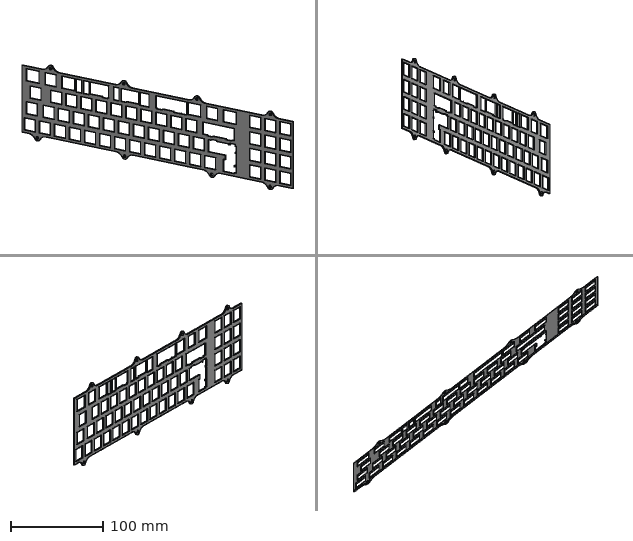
import math

import cadquery as cq

key_pitch = 19.05
columns = 18
row_count = 4
border = 0.475
thickness = 1.6
overall_height = 90.29

plate_length = columns * key_pitch + 2 * border
plate_height = row_count * key_pitch + 2 * border

switch_size = 14.0
half_switch = switch_size / 2
slot_width = 7.0
half_slot = slot_width / 2
slot_near = half_switch
slot_far = 8.0
half_span_2u = 11.938
half_span_3u = 19.05
half_span_7u = 57.15
half_span_8u = 66.675

tab_radius = 3.5
tab_hole_diameter = 3.0
tab_flare_radius = 9.0
tab_centre_z = overall_height / 2 - tab_radius
top_tab_first = 1.875
top_tab_pitch = 4.875
top_tabs = [top_tab_first + top_tab_pitch * i for i in range(4)]
bottom_tabs = [1.0, 6.8125, 12.625, 16.5]

shift_key = 13.125
split_shift_key = 12.375
enter_key = 13.375
tall_enter_key = 13.875
numpad_keys = [15.5, 16.5, 17.5]
number_row_keys = [0.5 + i for i in range(13)] + [13.75] + numpad_keys
home_row_keys = [0.625] + [1.75 + i for i in range(11)] + [12.75, enter_key] + numpad_keys
right_shift_keys = [split_shift_key, shift_key, 13.75]
shift_row_keys = [0.875] + [2.25 + i for i in range(10)] + right_shift_keys + numpad_keys
space_row_left_keys = [0.625, 0.75, 1.875, 3.0, 3.125]
space_row_middle_keys = [4.875, 5.375, 7.25, 7.375, 9.25, 9.75, 10.25]
space_row_right_keys = [11.375, 11.5, 12.625, 13.75, 13.875]
space_row_keys = space_row_left_keys + space_row_middle_keys + space_row_right_keys + numpad_keys

space_row_stabilizers = [
    (4.875, half_span_2u),
    (7.25, half_span_3u),
    (7.25, half_span_7u),
    (7.25, half_span_8u),
    (7.375, half_span_2u),
    (9.75, half_span_2u),
]


def key_x(units):
    return (units - columns / 2) * key_pitch


def row_z(row):
    """Centre height of a row, counted from the bottom."""
    return (row + 0.5 - row_count / 2) * key_pitch


number_row_z, home_row_z, shift_row_z, space_row_z = [row_z(row) for row in range(row_count)]
tall_enter_z = (number_row_z + home_row_z) / 2


def block(x_min, x_max, z_min, z_max):
    """Rectangular block through the plate thickness."""
    return cq.Workplane("XY").box(
        x_max - x_min, thickness, z_max - z_min
    ).translate(((x_min + x_max) / 2, 0, (z_min + z_max) / 2))


def cylinder(x, z, radius):
    """Round block through the plate thickness."""
    return cq.Workplane("XZ").center(x, z).circle(radius).extrude(thickness / 2, both=True)


def switch_opening(x, z):
    return block(x - half_switch, x + half_switch, z - half_switch, z + half_switch)


def slot_pair(x, z, half_span, reach_down, reach_up):
    """Two upright stabilizer slots, either side of a key centre."""
    centres = [x - half_span, x + half_span]
    return [block(c - half_slot, c + half_slot, z - reach_down, z + reach_up) for c in centres]


def tall_slot_pair(x, z, half_span):
    """Two sideways stabilizer slots, above and below a key centre."""
    centres = [z - half_span, z + half_span]
    return [block(x - slot_far, x + slot_near, c - half_slot, c + half_slot) for c in centres]


def tab(x, side):
    """Round lug on the top (side = 1) or bottom (side = -1) edge, flaring into the plate."""
    edge = plate_height / 2
    rise = tab_centre_z - edge
    reach = tab_radius + tab_flare_radius
    drop = tab_flare_radius - rise
    flare_x = math.sqrt(reach**2 - drop**2)
    touch_x = flare_x * tab_radius / reach
    touch_z = tab_centre_z + drop * tab_radius / reach
    half_turn = math.atan2(flare_x, drop) / 2
    mid_x = flare_x - tab_flare_radius * math.sin(half_turn)
    mid_z = edge + tab_flare_radius * (1 - math.cos(half_turn))

    def point(dx, z):
        return (x + dx, side * z)

    return (
        cq.Workplane("XZ")
        .moveTo(*point(-flare_x, edge - border))
        .lineTo(*point(-flare_x, edge))
        .threePointArc(point(-mid_x, mid_z), point(-touch_x, touch_z))
        .threePointArc(point(0, tab_centre_z + tab_radius), point(touch_x, touch_z))
        .threePointArc(point(mid_x, mid_z), point(flare_x, edge))
        .lineTo(*point(flare_x, edge - border))
        .close()
        .extrude(thickness / 2, both=True)
    )


def cut_all(body, cutters):
    for cutter in cutters:
        body = body.cut(cutter)
    return body


plate = block(-plate_length / 2, plate_length / 2, -plate_height / 2, plate_height / 2)
tab_places = [(key_x(u), 1) for u in top_tabs] + [(key_x(u), -1) for u in bottom_tabs]
for tab_x, tab_side in tab_places:
    plate = plate.union(tab(tab_x, tab_side))
    plate = plate.cut(cylinder(tab_x, tab_side * tab_centre_z, tab_hole_diameter / 2))

rows = [
    (number_row_keys, number_row_z),
    (home_row_keys, home_row_z),
    (shift_row_keys, shift_row_z),
    (space_row_keys, space_row_z),
]
for keys, z in rows:
    plate = cut_all(plate, [switch_opening(key_x(u), z) for u in keys])
plate = plate.cut(switch_opening(key_x(tall_enter_key), tall_enter_z))

for key, span in space_row_stabilizers:
    plate = cut_all(plate, slot_pair(key_x(key), space_row_z, span, slot_far, slot_near))
plate = cut_all(plate, slot_pair(key_x(shift_key), shift_row_z, half_span_2u, slot_far, slot_near))
plate = cut_all(plate, slot_pair(key_x(enter_key), home_row_z, half_span_2u, slot_near, slot_far))
plate = cut_all(plate, tall_slot_pair(key_x(tall_enter_key), tall_enter_z, half_span_2u))

web_left = key_x(split_shift_key) + half_switch
web_right = key_x(shift_key) - half_switch
plate = plate.cut(block(web_left, web_right, shift_row_z - half_switch, shift_row_z + half_switch))

island_left = key_x(enter_key) + half_switch
island_right = key_x(enter_key) + half_span_2u - half_slot
island_bottom = tall_enter_z + half_switch
island_top = tall_enter_z + half_span_2u - half_slot
plate = plate.cut(block(island_left, island_right, island_bottom, island_top))

result = plate